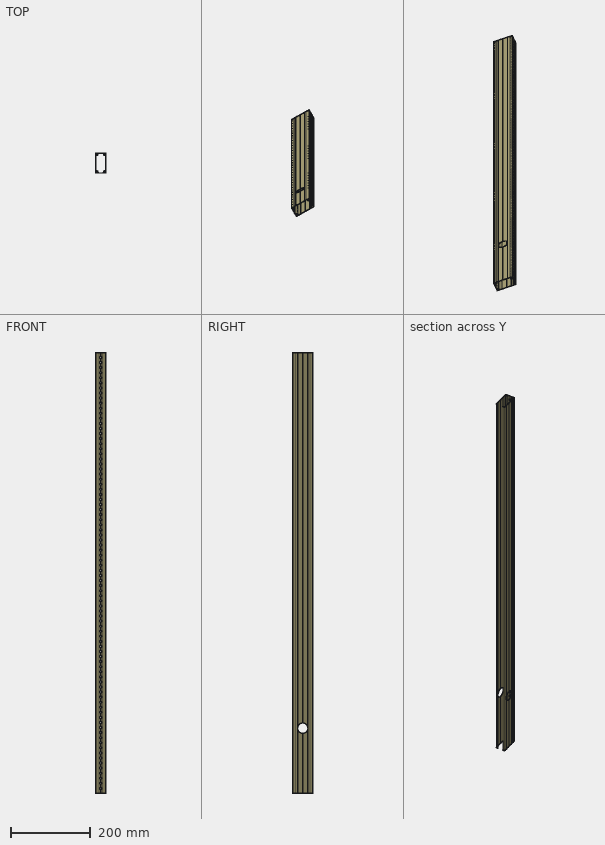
import cadquery as cq

WIDTH = 25.4
DEPTH = 50.8
LENGTH = 1104.18
WALL = 1.016

BOSS_DIAMETER = 6.35
BOSS_INSET = BOSS_DIAMETER / 2
BORE_DIAMETER = 4.0
BOSS_FILLET = 1.5

GROOVE_WIDTH = 0.8
GROOVE_DEPTH = 0.4

GRID_PITCH = 12.7
ROW_HOLE_DIAMETER = 5.0
ROW_HOLE_COUNT = int(LENGTH // GRID_PITCH)

SIDE_GROOVE_OFFSET = GRID_PITCH

CROSS_HOLE_DIAMETER = 25.4
CROSS_HOLE_HEIGHT = 163.5


def corner_cylinders(diameter):
    """Full-length cylinders on the axes of the four corner bosses."""
    spacing_x = WIDTH - 2 * BOSS_INSET
    spacing_y = DEPTH - 2 * BOSS_INSET
    axes = cq.Workplane("XY").rect(spacing_x, spacing_y, forConstruction=True).vertices()
    return axes.circle(diameter / 2).extrude(LENGTH)


def tube():
    """Thin rectangular tube whose corner bosses blend into the walls."""
    outside = cq.Workplane("XY").rect(WIDTH, DEPTH).extrude(LENGTH)
    inside = cq.Workplane("XY").rect(WIDTH - 2 * WALL, DEPTH - 2 * WALL).extrude(LENGTH)
    cavity = inside.cut(corner_cylinders(BOSS_DIAMETER)).edges("|Z").fillet(BOSS_FILLET)
    return outside.cut(cavity).cut(corner_cylinders(BORE_DIAMETER))


def groove(face_distance, across, angle):
    """V groove cutter for the face at face_distance from the tube axis, turned about Z by angle."""
    profile = [
        (face_distance, across - GROOVE_WIDTH / 2),
        (face_distance - GROOVE_DEPTH, across),
        (face_distance, across + GROOVE_WIDTH / 2),
    ]
    cutter = cq.Workplane("XY").polyline(profile).close().extrude(LENGTH)
    return cutter.rotate((0, 0, 0), (0, 0, 1), angle)


def cut_grooves(body):
    """Three grooves on each wide face and one on each narrow face."""
    for angle in (0, 180):
        for across in (-SIDE_GROOVE_OFFSET, 0, SIDE_GROOVE_OFFSET):
            body = body.cut(groove(WIDTH / 2, across, angle))
    for angle in (90, 270):
        body = body.cut(groove(DEPTH / 2, 0, angle))
    return body


def row_holes():
    """Cutters for the small holes, one pitch apart from the bottom end upward."""
    centers = [(0, GRID_PITCH * (i + 1)) for i in range(ROW_HOLE_COUNT)]
    circles = cq.Workplane("XZ").pushPoints(centers).circle(ROW_HOLE_DIAMETER / 2)
    return circles.extrude(DEPTH / 2, both=True)


def cross_hole():
    """Cutter for the large hole."""
    disc = cq.Workplane("YZ").center(0, CROSS_HOLE_HEIGHT).circle(CROSS_HOLE_DIAMETER / 2)
    return disc.extrude(WIDTH / 2, both=True)


result = cut_grooves(tube()).cut(cross_hole()).cut(row_holes())